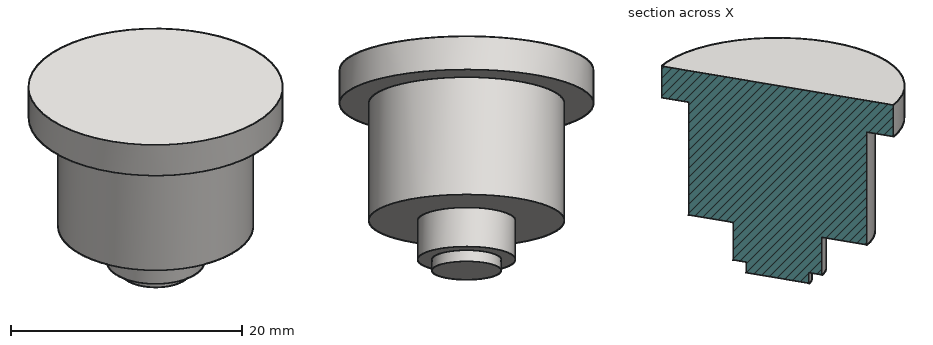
import cadquery as cq

total_height = 18.0
flange_diameter = 22.0
flange_height = 3.0
body_diameter = 16.95
neck_diameter = 8.47
neck_height = 3.5
tip_diameter = 6.0
tip_height = 1.0
body_height = total_height - flange_height - neck_height - tip_height

steps = [
    (tip_diameter, tip_height),
    (neck_diameter, neck_height),
    (body_diameter, body_height),
    (flange_diameter, flange_height),
]


def stack_cylinders(steps):
    """Stack coaxial cylinders upward along Z, starting at Z = 0."""
    stack = cq.Workplane("XY")
    base_z = 0.0
    for diameter, height in steps:
        cylinder = cq.Solid.makeCylinder(diameter / 2, height, cq.Vector(0, 0, base_z))
        stack = stack.add(cylinder)
        base_z += height
    return stack.combine()


result = stack_cylinders(steps)